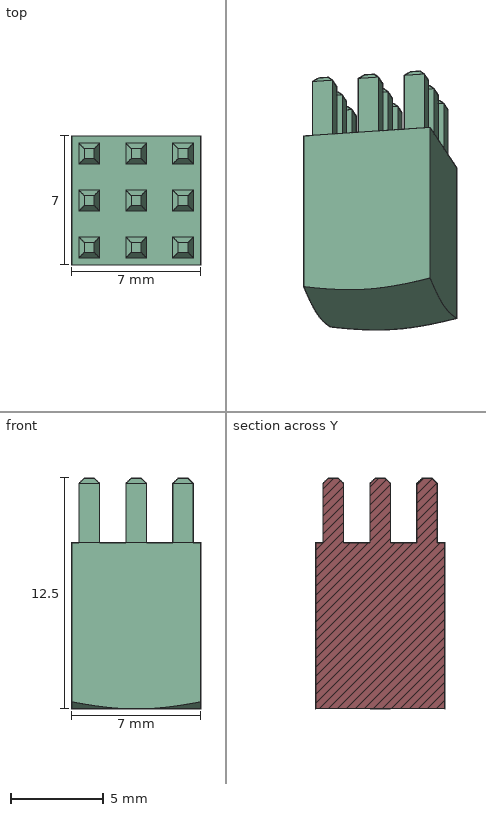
import cadquery as cq
import math

body_width = 7.0
body_height = 9.0
corner_bevel_angle = 15.0

pins_per_side = 3
pin_pitch = 2.54
pin_width = 1.125
pin_height = 3.5
tip_height = 0.29
tip_width = 0.53


def make_body():
    """Square block whose bottom corners are trimmed by a shallow cone."""
    block = cq.Workplane("XY").box(body_width, body_width, body_height, centered=(True, True, False))

    flat_radius = body_width / 2
    outer_radius = body_width
    bevel_rise = (outer_radius - flat_radius) * math.tan(math.radians(corner_bevel_angle))
    envelope = (
        cq.Workplane("XZ")
        .polyline([
            (0, 0),
            (flat_radius, 0),
            (outer_radius, bevel_rise),
            (outer_radius, body_height),
            (0, body_height),
        ])
        .close()
        .revolve(360, (0, 0, 0), (0, 1, 0))
    )
    return block.intersect(envelope)


def make_pin():
    """Square pin standing on the body top, ending in a truncated pyramid."""
    shaft_height = pin_height - tip_height
    shaft = (
        cq.Workplane("XY")
        .workplane(offset=body_height)
        .rect(pin_width, pin_width)
        .extrude(shaft_height)
    )
    tip = (
        cq.Workplane("XY")
        .workplane(offset=body_height + shaft_height)
        .rect(pin_width, pin_width)
        .workplane(offset=tip_height)
        .rect(tip_width, tip_width)
        .loft(ruled=True)
    )
    return shaft.union(tip)


result = make_body()
pin = make_pin()
pin_positions = [(index - (pins_per_side - 1) / 2) * pin_pitch for index in range(pins_per_side)]
for pin_x in pin_positions:
    for pin_y in pin_positions:
        result = result.union(pin.translate((pin_x, pin_y, 0)))